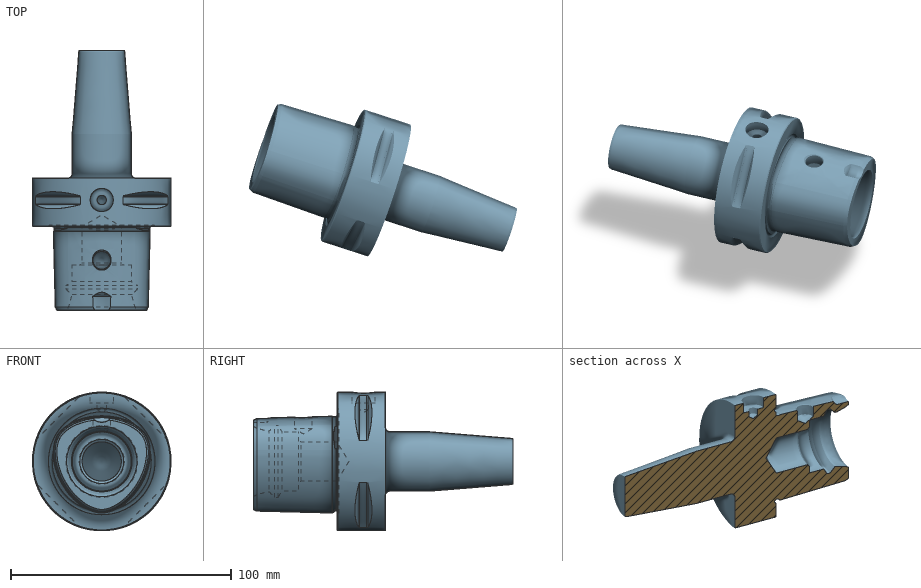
import cadquery as cq
import math


FLANGE_RADIUS = 31.5
FLANGE_LENGTH = 22.0
FLANGE_CHAMFER = 0.4

NOSE_END = 80.0
NOSE_RADIUS = 13.5
NOSE_TIP_RADIUS = 10.5
NOSE_CONE_START = 42.0
NOSE_ROOT_FILLET = 2.0
TIP_CHAMFER_LENGTH = 0.9
TIP_CHAMFER_WIDTH = 0.25

SHANK_LENGTH = 38.0
POLYGON_RADIUS = 22.0
POLYGON_ECCENTRICITY = 1.42
LOBE_COUNT = 3
FIRST_LOBE_ANGLE = -90.0
LOBE_HALF_ANGLE = 28.0
TAPER_PER_SIDE = 1 / 40
TAPER_START = -2.2
NECK_INSET = 0.2
NECK_ROOT_FLARE = 0.4
SHANK_CHAMFER_LENGTH = 1.6
SHANK_CHAMFER_WIDTH = 0.8
SPLINE_STEPS = 8
OVERLAP = 1.0

RELIEF_INNER_RADIUS = 22.5
RELIEF_OUTER_RADIUS = 24.2
RELIEF_STRAIGHT_LENGTH = 0.9

BORE_MOUTH_RADIUS = 16.0
BORE_MOUTH_CHAMFER_RADIUS = 15.1
BORE_MOUTH_CHAMFER_END = -36.4
BORE_ENTRY_RADIUS = 13.8
BORE_ENTRY_START = -31.8
BORE_GROOVE_RADIUS = 16.3
BORE_GROOVE_START = -30.8
BORE_GROOVE_FLOOR_START = -28.3
BORE_GROOVE_FLOOR_END = -26.7
BORE_GROOVE_RAMP_RADIUS = 15.0
BORE_GROOVE_RAMP_START = -26.0
BORE_INNER_RADIUS = 13.4
BORE_GROOVE_END = -24.9
BORE_FLOOR = -17.5
CENTRE_HOLE_MOUTH_RADIUS = 10.0
CENTRE_HOLE_RADIUS = 8.9
CENTRE_HOLE_END = 0.0

DRILL_TIP_HALF_ANGLE = 59.0
KEYWAY_RADIUS = 5.5
KEYWAY_FLOOR_HEIGHT = 17.75
KEYWAY_END = -31.7
KEYWAY_END_CONE_LENGTH = 5.0
SIDE_HOLE_Y = -15.3
SIDE_HOLE_RADIUS = 4.0
SIDE_HOLE_FLOOR = 14.9
SIDE_HOLE_SINK_RADIUS = 4.6
SIDE_HOLE_SINK_HEIGHT = 20.3
PORT_Y = 12.1
PORT_RADIUS = 5.25
PORT_FLOOR = 26.5
PORT_CORE_RADIUS = 2.1
PORT_CORE_FLOOR = 23.5

NOTCH_COUNT = 4
NOTCH_FIRST_ANGLE = 45.0
NOTCH_Y = 12.0
NOTCH_FLOOR_WIDTH = 4.0
NOTCH_FLOOR_DISTANCE = 28.1
NOTCH_SIDE_ANGLE = 29.0
NOTCH_CHANNEL_MIN_Y = 10.3
NOTCH_CHANNEL_MAX_Y = 13.4
NOTCH_CHANNEL_DEPTH = 0.1


def turned(profile):
    """Revolve a closed (radius, y) profile about the Y axis."""
    return profile.revolve(360, (0, 0), (0, 1))


def turned_body():
    """Flange and nose with the root fillet."""
    fillet_end = FLANGE_LENGTH + NOSE_ROOT_FILLET
    fillet_centre_radius = NOSE_RADIUS + NOSE_ROOT_FILLET
    fillet_mid_offset = NOSE_ROOT_FILLET * math.sqrt(0.5)
    profile = (
        cq.Workplane("ZY")
        .moveTo(0, 0)
        .lineTo(FLANGE_RADIUS - FLANGE_CHAMFER, 0)
        .lineTo(FLANGE_RADIUS, FLANGE_CHAMFER)
        .lineTo(FLANGE_RADIUS, FLANGE_LENGTH)
        .lineTo(fillet_centre_radius, FLANGE_LENGTH)
        .threePointArc(
            (fillet_centre_radius - fillet_mid_offset, fillet_end - fillet_mid_offset),
            (NOSE_RADIUS, fillet_end),
        )
        .lineTo(NOSE_RADIUS, NOSE_CONE_START)
        .lineTo(NOSE_TIP_RADIUS, NOSE_END - TIP_CHAMFER_LENGTH)
        .lineTo(NOSE_TIP_RADIUS - TIP_CHAMFER_WIDTH, NOSE_END)
        .lineTo(0, NOSE_END)
        .close()
    )
    return turned(profile)


def polygon_point(angle, inset, y):
    """Point of the polygon whose outward normal has the given angle, and its tangent."""
    phase = LOBE_COUNT * (angle - math.radians(FIRST_LOBE_ANGLE))
    support = POLYGON_RADIUS - inset + POLYGON_ECCENTRICITY * math.cos(phase)
    slope = -LOBE_COUNT * POLYGON_ECCENTRICITY * math.sin(phase)
    x = support * math.cos(angle) - slope * math.sin(angle)
    z = support * math.sin(angle) + slope * math.cos(angle)
    return cq.Vector(x, y, z), cq.Vector(-math.sin(angle), 0, math.cos(angle))


def polygon_edge(start_degrees, end_degrees, inset, y):
    """Smooth stretch of the outline between two normal angles."""
    step = (end_degrees - start_degrees) / SPLINE_STEPS
    angles = [math.radians(start_degrees + i * step) for i in range(SPLINE_STEPS + 1)]
    samples = [polygon_point(angle, inset, y) for angle in angles]
    points = [point for point, _ in samples]
    end_tangents = [samples[0][1], samples[-1][1]]
    return cq.Edge.makeSpline(points, tangents=end_tangents)


def polygon_wire(inset, y):
    """Lobes and flanks alternate around the outline."""
    pitch = 360 / LOBE_COUNT
    edges = []
    for i in range(LOBE_COUNT):
        lobe = FIRST_LOBE_ANGLE + i * pitch
        lobe_end = lobe + LOBE_HALF_ANGLE
        edges.append(polygon_edge(lobe - LOBE_HALF_ANGLE, lobe_end, inset, y))
        edges.append(polygon_edge(lobe_end, lobe + pitch - LOBE_HALF_ANGLE, inset, y))
    return cq.Wire.assembleEdges(edges)


def shank():
    """Flared root, short neck, tapered body and end chamfer, lofted between polygons."""
    chamfer_start = -SHANK_LENGTH + SHANK_CHAMFER_LENGTH
    chamfer_inset = (TAPER_START - chamfer_start) * TAPER_PER_SIDE
    sections = [
        (NECK_INSET - NECK_ROOT_FLARE, OVERLAP),
        (NECK_INSET - NECK_ROOT_FLARE, 0),
        (NECK_INSET, -NECK_ROOT_FLARE),
        (NECK_INSET, TAPER_START + NECK_INSET),
        (0, TAPER_START),
        (chamfer_inset, chamfer_start),
        (chamfer_inset + SHANK_CHAMFER_WIDTH, -SHANK_LENGTH),
    ]
    wires = [polygon_wire(inset, y) for inset, y in sections]
    return cq.Workplane(cq.Solid.makeLoft(wires, True))


def relief_cutter():
    """Groove in the flange face, trimming the lobe roots down to its inner radius."""
    arc_radius = (RELIEF_OUTER_RADIUS - RELIEF_INNER_RADIUS) / 2
    trim_cone_length = RELIEF_OUTER_RADIUS - RELIEF_INNER_RADIUS
    profile = (
        cq.Workplane("ZY")
        .moveTo(RELIEF_INNER_RADIUS, -RELIEF_STRAIGHT_LENGTH)
        .lineTo(RELIEF_INNER_RADIUS, 0)
        .threePointArc((RELIEF_INNER_RADIUS + arc_radius, arc_radius), (RELIEF_OUTER_RADIUS, 0))
        .lineTo(RELIEF_OUTER_RADIUS, -RELIEF_STRAIGHT_LENGTH - trim_cone_length)
        .close()
    )
    return turned(profile)


def drill_point_length(radius):
    """Length of a drill point of the given radius."""
    return radius / math.tan(math.radians(DRILL_TIP_HALF_ANGLE))


def bore_cutter():
    """Stepped bore with a clamping groove, ending in a centre hole with a drill point."""
    centre_hole_chamfer_end = BORE_FLOOR + CENTRE_HOLE_MOUTH_RADIUS - CENTRE_HOLE_RADIUS
    profile = cq.Workplane("ZY").polyline(
        [
            (0, -SHANK_LENGTH),
            (BORE_MOUTH_RADIUS, -SHANK_LENGTH),
            (BORE_MOUTH_CHAMFER_RADIUS, BORE_MOUTH_CHAMFER_END),
            (BORE_ENTRY_RADIUS, BORE_ENTRY_START),
            (BORE_ENTRY_RADIUS, BORE_GROOVE_START),
            (BORE_GROOVE_RADIUS, BORE_GROOVE_FLOOR_START),
            (BORE_GROOVE_RADIUS, BORE_GROOVE_FLOOR_END),
            (BORE_GROOVE_RAMP_RADIUS, BORE_GROOVE_RAMP_START),
            (BORE_INNER_RADIUS, BORE_GROOVE_END),
            (BORE_INNER_RADIUS, BORE_FLOOR),
            (CENTRE_HOLE_MOUTH_RADIUS, BORE_FLOOR),
            (CENTRE_HOLE_RADIUS, centre_hole_chamfer_end),
            (CENTRE_HOLE_RADIUS, CENTRE_HOLE_END),
            (0, CENTRE_HOLE_END + drill_point_length(CENTRE_HOLE_RADIUS)),
        ]
    )
    return turned(profile.close())


def keyway_cutter():
    """Round-bottomed keyway with a conical end, open at the shank end."""
    profile = cq.Workplane("ZY").polyline(
        [
            (0, -SHANK_LENGTH - OVERLAP),
            (KEYWAY_RADIUS, -SHANK_LENGTH - OVERLAP),
            (KEYWAY_RADIUS, KEYWAY_END),
            (0, KEYWAY_END + KEYWAY_END_CONE_LENGTH),
        ]
    )
    return turned(profile.close()).translate((0, 0, KEYWAY_FLOOR_HEIGHT + KEYWAY_RADIUS))


def drilled_from_top(profile_points, y):
    """Revolve (radius, z) points about a vertical axis through x = 0 at the given y."""
    profile = cq.Workplane("XZ").polyline(profile_points).close()
    return profile.revolve(360, (0, 0), (0, 1)).translate((0, y, 0))


def side_hole_cutter():
    """Blind hole in the shank flank with a 90 degree countersink."""
    sink_bottom = SIDE_HOLE_SINK_HEIGHT - (SIDE_HOLE_SINK_RADIUS - SIDE_HOLE_RADIUS)
    sink_top = SIDE_HOLE_SINK_HEIGHT + OVERLAP
    points = [
        (0, SIDE_HOLE_FLOOR - drill_point_length(SIDE_HOLE_RADIUS)),
        (SIDE_HOLE_RADIUS, SIDE_HOLE_FLOOR),
        (SIDE_HOLE_RADIUS, sink_bottom),
        (SIDE_HOLE_SINK_RADIUS + OVERLAP, sink_top),
        (0, sink_top),
    ]
    return drilled_from_top(points, SIDE_HOLE_Y)


def port_cutter():
    """Flat-bottomed port in the flange rim with a small blind core hole."""
    points = [
        (0, PORT_CORE_FLOOR - drill_point_length(PORT_CORE_RADIUS)),
        (PORT_CORE_RADIUS, PORT_CORE_FLOOR),
        (PORT_CORE_RADIUS, PORT_FLOOR),
        (PORT_RADIUS, PORT_FLOOR),
        (PORT_RADIUS, FLANGE_RADIUS + OVERLAP),
        (0, FLANGE_RADIUS + OVERLAP),
    ]
    return drilled_from_top(points, PORT_Y)


def notch_cutter(angle):
    """Flared notch with a shallow floor channel, facing the given angle in the XZ plane."""
    top = FLANGE_RADIUS + OVERLAP
    flare = (top - NOTCH_FLOOR_DISTANCE) * math.tan(math.radians(NOTCH_SIDE_ANGLE))
    floor_min = NOTCH_Y - NOTCH_FLOOR_WIDTH / 2
    floor_max = NOTCH_Y + NOTCH_FLOOR_WIDTH / 2
    channel_floor = NOTCH_FLOOR_DISTANCE - NOTCH_CHANNEL_DEPTH
    section = cq.Workplane("XY").polyline(
        [
            (top, floor_min - flare),
            (NOTCH_FLOOR_DISTANCE, floor_min),
            (NOTCH_FLOOR_DISTANCE, NOTCH_CHANNEL_MIN_Y),
            (channel_floor, NOTCH_CHANNEL_MIN_Y),
            (channel_floor, NOTCH_CHANNEL_MAX_Y),
            (NOTCH_FLOOR_DISTANCE, NOTCH_CHANNEL_MAX_Y),
            (NOTCH_FLOOR_DISTANCE, floor_max),
            (top, floor_max + flare),
        ]
    )
    cutter = section.close().extrude(FLANGE_RADIUS, both=True)
    return cutter.rotate((0, 0, 0), (0, 1, 0), angle)


result = turned_body().union(shank())
result = result.cut(relief_cutter())
result = result.cut(bore_cutter())
result = result.cut(keyway_cutter())
result = result.cut(side_hole_cutter())
result = result.cut(port_cutter())
for notch in range(NOTCH_COUNT):
    result = result.cut(notch_cutter(NOTCH_FIRST_ANGLE + notch * 360 / NOTCH_COUNT))